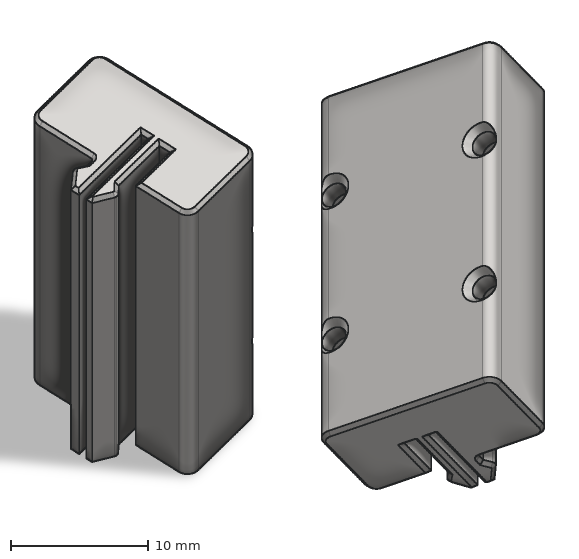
import cadquery as cq

WIDTH = 15.0
DEPTH = 11.25
HEIGHT = 30.8
END_CHAMFER = 0.3

BLOCK_DEPTH = 8.0
CORNER_RADIUS = 1.0
BACK_Y = DEPTH / 2
BLOCK_FRONT_Y = BACK_Y - BLOCK_DEPTH
TIP_Y = -DEPTH / 2

SLOT_DEPTH = 4.0
SLOT_END_Y = BLOCK_FRONT_Y + SLOT_DEPTH
GAP_LEFT = -0.22
GAP_RIGHT = 0.43
LEG_RIGHT = 1.48
RELIEF_RIGHT = 2.45

NECK_LEFT = -1.48
NECK_FILLET = 0.2
BARB_CREST_X = 2.1
BARB_CREST_FILLET = 0.43
BARB_ROOT_Y = TIP_Y + 2.5
BARB_CREST_Y = TIP_Y + 1.65
TIP_HALF_WIDTH = 1.0

HOLE_DIAMETER = 2.0
HOLE_DEPTH = 2.0
SINK_DIAMETER = 3.08
SINK_ANGLE = 90
HOLE_SIDE_INSET = 1.155
HOLE_PITCH_X = WIDTH - 2 * HOLE_SIDE_INSET
HOLE_PITCH_Z = 13.0


def make_block():
    """Rounded rectangular bar standing along Z."""
    return (
        cq.Workplane("XY")
        .center(0, BACK_Y - BLOCK_DEPTH / 2)
        .rect(WIDTH, BLOCK_DEPTH)
        .extrude(HEIGHT)
        .edges("|Z")
        .fillet(CORNER_RADIUS)
    )


def make_relief():
    """Room around the flexible leg, from the clip gap to the right slot wall."""
    width = RELIEF_RIGHT - GAP_LEFT
    return (
        cq.Workplane("XY", origin=(GAP_LEFT, TIP_Y, 0))
        .rect(width, SLOT_END_Y - TIP_Y, centered=False)
        .extrude(HEIGHT)
    )


def make_leg(inner_x, neck_x, side, root_y):
    """Half of the clip: a straight neck ending in a barb on the given side."""
    crest_x = side * BARB_CREST_X
    crest_edge = cq.selectors.NearestToPointSelector((crest_x, BARB_CREST_Y, HEIGHT / 2))
    return (
        cq.Workplane("XY")
        .moveTo(inner_x, root_y)
        .lineTo(neck_x, root_y)
        .lineTo(neck_x, BARB_ROOT_Y)
        .lineTo(crest_x, BARB_CREST_Y)
        .lineTo(side * TIP_HALF_WIDTH, TIP_Y)
        .lineTo(inner_x, TIP_Y)
        .close()
        .extrude(HEIGHT)
        .edges(crest_edge)
        .fillet(BARB_CREST_FILLET)
    )


def cut_holes(solid):
    """Cut the four countersunk holes from the back face towards -Y."""
    return (
        solid.faces(">Y")
        .workplane(origin=(0, BACK_Y, HEIGHT / 2))
        .rarray(HOLE_PITCH_X, HOLE_PITCH_Z, 2, 2)
        .cskHole(HOLE_DIAMETER, SINK_DIAMETER, SINK_ANGLE, HOLE_DEPTH)
    )


fixed_leg = make_leg(GAP_LEFT, NECK_LEFT, -1, BLOCK_FRONT_Y)
flexible_leg = make_leg(GAP_RIGHT, LEG_RIGHT, 1, SLOT_END_Y)
body = make_block().cut(make_relief()).union(fixed_leg).union(flexible_leg)

neck_corner = cq.selectors.NearestToPointSelector((NECK_LEFT, BLOCK_FRONT_Y, HEIGHT / 2))
body = body.edges("|Z").edges(neck_corner).fillet(NECK_FILLET)

body = body.faces("<Z or >Z").chamfer(END_CHAMFER)

result = cut_holes(body)